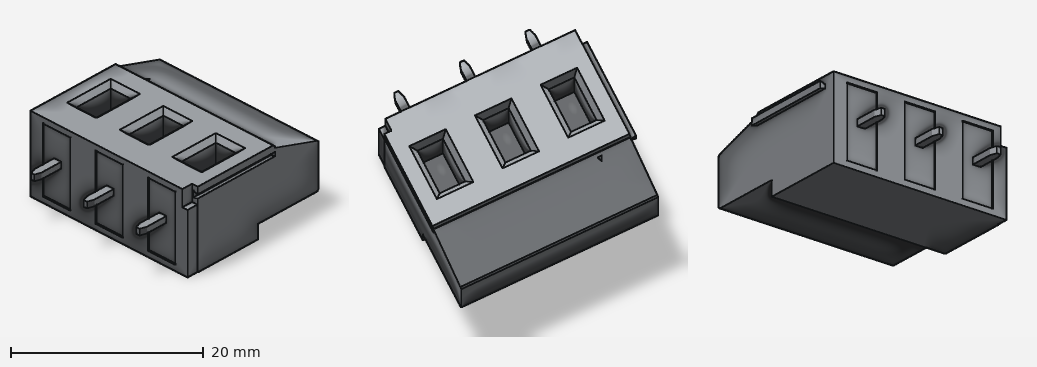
import cadquery as cq


overall_width = 23.45
body_width = 22.8
body_height = 10.5
body_length = 19.47
back_step_length = 9.0
back_step_height = 1.9
shoulder_y = 12.97
slope_top_z = 10.09
slope_back_z = 8.05
edge_bevel = 0.2
shoulder_bevel = 0.25

plate_thickness = 1.45
plate_side_setback = 0.07
notch_width = 0.82
notch_floor_z = 8.28

rail_depth = overall_width - body_width
rail_center_z = 9.31
rail_outer_height = 0.85
rail_root_height = 0.52

pole_count = 3
pole_pitch = 7.6

opening_width = 4.22
opening_length = 6.47
opening_center_y = 7.04
opening_bevel = 0.63
opening_depth = body_height / 2

panel_width = 3.99
panel_height = 8.95
panel_depth = 0.2

pin_width = 1.0
pin_thickness = 0.82
pin_length = 3.52
pin_center_z = 5.6
pin_tip_width = 0.5
pin_tip_length = 0.82

mark_width = 0.5
mark_length = 0.52
mark_base_y = shoulder_y + 0.42
mark_depth = 0.1

half_width = body_width / 2
pole_center_x = -plate_side_setback / 2
pole_positions = [pole_center_x + (i - (pole_count - 1) / 2) * pole_pitch for i in range(pole_count)]


def slope_z(y):
    """Height of the sloping back face at a given Y."""
    fall = (slope_top_z - slope_back_z) / (body_length - shoulder_y)
    return slope_top_z - fall * (y - shoulder_y)


def make_body():
    """Side profile with a sloping back and a raised back underside, extruded along X."""
    profile = [
        (plate_thickness, 0),
        (body_length - back_step_length, 0),
        (body_length - back_step_length, back_step_height),
        (body_length - edge_bevel, back_step_height),
        (body_length, back_step_height + edge_bevel),
        (body_length, slope_back_z - edge_bevel / 2),
        (body_length - edge_bevel, slope_z(body_length - edge_bevel)),
        (shoulder_y, slope_top_z),
        (shoulder_y, body_height - shoulder_bevel),
        (shoulder_y - shoulder_bevel, body_height),
        (plate_thickness, body_height),
    ]
    return cq.Workplane("YZ").polyline(profile).close().extrude(half_width, both=True)


def make_plate():
    """Base plate, notched at its upper +X corner to leave the groove end open."""
    right = half_width - plate_side_setback
    notch_x = half_width - notch_width
    profile = [
        (-half_width, 0),
        (right, 0),
        (right, notch_floor_z),
        (notch_x, notch_floor_z),
        (notch_x, body_height),
        (-half_width, body_height),
    ]
    return cq.Workplane("XZ").polyline(profile).close().extrude(-plate_thickness)


def make_dovetail(root_x):
    """Dovetail bar reaching from root_x toward -X and widening on the way."""
    outer_x = root_x - rail_depth
    profile = [
        (root_x, rail_center_z - rail_root_height / 2),
        (root_x, rail_center_z + rail_root_height / 2),
        (outer_x, rail_center_z + rail_outer_height / 2),
        (outer_x, rail_center_z - rail_outer_height / 2),
    ]
    rail_length = shoulder_y - plate_thickness
    plane = cq.Workplane("XZ", origin=(0, plate_thickness, 0))
    return plane.polyline(profile).close().extrude(-rail_length)


def make_opening(x):
    """Wire opening: a 45 degree funnel above a straight blind pocket."""
    throat_width = opening_width - 2 * opening_bevel
    throat_length = opening_length - 2 * opening_bevel
    top = cq.Workplane("XY", origin=(x, opening_center_y, body_height))
    funnel = (
        top.rect(opening_width, opening_length)
        .workplane(offset=-opening_bevel)
        .rect(throat_width, throat_length)
        .loft()
    )
    pocket = top.rect(throat_width, throat_length).extrude(-opening_depth)
    return funnel.union(pocket)


def make_panel(x):
    """Shallow rectangular recess in the outer face of the base plate."""
    plane = cq.Workplane("XZ", origin=(x, 0, body_height / 2))
    return plane.rect(panel_width, panel_height).extrude(-panel_depth)


def make_pin(x):
    """Flat solder pin with a tapered tip, rooted in the panel floor."""
    taper_y = pin_tip_length - pin_length
    profile = [
        (-pin_width / 2, panel_depth),
        (-pin_width / 2, taper_y),
        (-pin_tip_width / 2, -pin_length),
        (pin_tip_width / 2, -pin_length),
        (pin_width / 2, taper_y),
        (pin_width / 2, panel_depth),
    ]
    plane = cq.Workplane("XY", origin=(x, 0, pin_center_z))
    return plane.polyline(profile).close().extrude(pin_thickness / 2, both=True)


def make_mark(x):
    """Triangular prism that sinks the mark into the sloping face."""
    tip_y = mark_base_y + mark_length
    floor_base = slope_z(mark_base_y) - mark_depth
    floor_tip = slope_z(tip_y) - mark_depth
    prism = (
        cq.Workplane("XY", origin=(x, 0, 0))
        .polyline([(-mark_width / 2, mark_base_y), (mark_width / 2, mark_base_y), (0, tip_y)])
        .close()
        .extrude(body_height)
    )
    above_floor = (
        cq.Workplane("YZ", origin=(x, 0, 0))
        .polyline([(mark_base_y, floor_base), (tip_y, floor_tip),
                   (tip_y, body_height), (mark_base_y, body_height)])
        .close()
        .extrude(mark_width, both=True)
    )
    return prism.intersect(above_floor)


result = make_body().union(make_plate())
result = result.union(make_dovetail(-half_width))
result = result.cut(make_dovetail(half_width))
for pole_x in pole_positions:
    result = result.cut(make_opening(pole_x))
    result = result.cut(make_panel(pole_x))
    result = result.union(make_pin(pole_x))
result = result.cut(make_mark(pole_positions[0]))